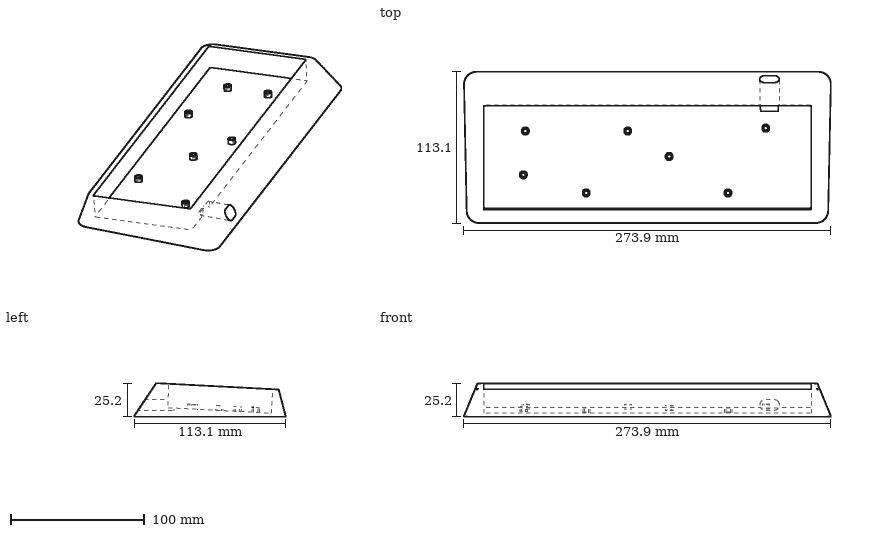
import cadquery as cq
import math

base_width = 274.42
base_depth = 113.64
rim_rear_z = 25.21

rim_width = 254.0
rim_front_y = 5.3
rim_rear_y = 96.8
rim_tilt = 3.0

rim_edge_radius = 1.0
base_edge_radius = 0.5

base_corner_radius = 9.5
rim_corner_radius = 9.0

cavity_width = 244.6
cavity_front_y = 10.0
cavity_rear_y = 87.6
cavity_corner_radius = 1.0
cavity_draft = 0.6
floor_rear_z = 6.9

post_diameter = 5.5
post_bore = 3.2
post_height = 3.5
post_positions = [
    (-91.1, 69.0),
    (-14.7, 69.0),
    (88.3, 71.1),
    (16.2, 50.0),
    (-92.6, 36.3),
    (-45.7, 22.8),
    (60.1, 22.8),
]

slot_x = 91.0
slot_width = 14.6
slot_height = 8.0
slot_z = 9.0
slot_front_y = 83.5

tilt = math.radians(rim_tilt)
slope = math.tan(tilt)


def rim_z(y):
    return rim_rear_z + slope * (y - rim_rear_y)


def floor_z(y):
    return floor_rear_z + slope * (y - cavity_rear_y)


widest_y = base_depth - base_corner_radius
side_taper = (base_width - rim_width) / 2 / rim_z(widest_y)


def half_width_at_base(y):
    return rim_width / 2 + side_taper * rim_z(y)


def rounded_outline(front_y, rear_y, front_half, rear_half, radius):
    corners = [
        (-front_half, front_y),
        (front_half, front_y),
        (rear_half, rear_y),
        (-rear_half, rear_y),
        (-front_half, front_y),
    ]
    return cq.Sketch().polygon(corners).vertices().fillet(radius)


def make_blank():
    """Leaning walls lofted from the tapering base outline up to the tilted rim outline."""
    base = rounded_outline(
        0,
        base_depth,
        half_width_at_base(0),
        half_width_at_base(base_depth),
        base_corner_radius,
    )
    rim = rounded_outline(
        rim_front_y / math.cos(tilt),
        rim_rear_y / math.cos(tilt),
        rim_width / 2,
        rim_width / 2,
        rim_corner_radius,
    )
    rim_place = cq.Location(cq.Vector(0, 0, rim_z(0)), cq.Vector(1, 0, 0), rim_tilt)
    return cq.Workplane("XY").placeSketch(base, rim.moved(rim_place)).loft(ruled=True)


def round_edges(blank):
    """Small roundings around the rim and the underside."""
    blank = blank.faces(">Z").edges().fillet(rim_edge_radius)
    return blank.faces("<Z").edges().fillet(base_edge_radius)


def make_cavity():
    """Drafted pocket sunk square to the rim plane down to the sloping floor."""
    cavity_length = (cavity_rear_y - cavity_front_y) / math.cos(tilt)
    cavity_depth = (rim_z(cavity_rear_y) - floor_rear_z) * math.cos(tilt)
    middle_y = (cavity_front_y + cavity_rear_y) / 2
    return (
        cq.Workplane("XY")
        .rect(cavity_width, cavity_length)
        .extrude(-cavity_depth, taper=cavity_draft)
        .edges("not #Z")
        .fillet(cavity_corner_radius)
        .rotate((0, 0, 0), (1, 0, 0), rim_tilt)
        .translate((0, middle_y, rim_z(middle_y)))
    )


def make_post(x, y):
    """Hollow standoff square to the sloping floor."""
    seat = cq.Plane(origin=(x, y, floor_z(y)), xDir=(1, 0, 0), normal=(0, -slope, 1))
    return (
        cq.Workplane(seat)
        .circle(post_diameter / 2)
        .circle(post_bore / 2)
        .extrude(post_height)
    )


def make_slot():
    return (
        cq.Workplane("XZ", origin=(slot_x, slot_front_y, slot_z))
        .slot2D(slot_width, slot_height)
        .extrude(slot_front_y - base_depth)
    )


case = round_edges(make_blank())
case = case.cut(make_cavity())
case = case.cut(make_slot())
for post_x, post_y in post_positions:
    case = case.union(make_post(post_x, post_y))
result = case